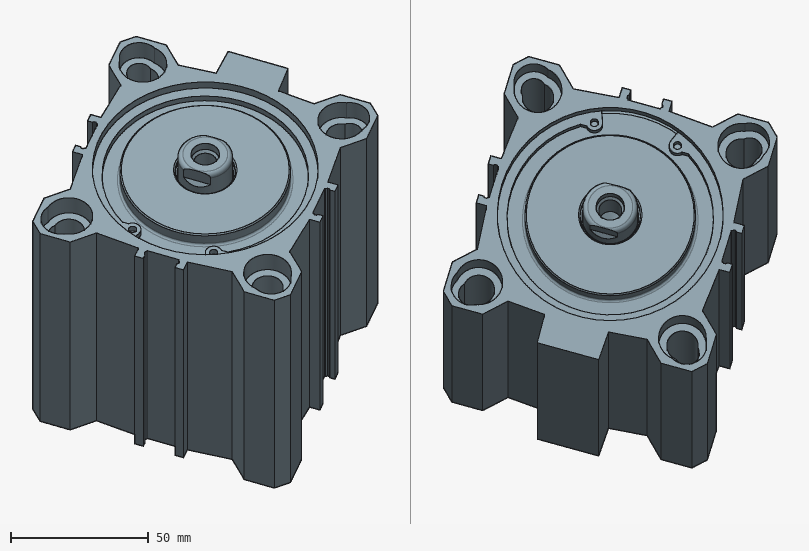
import cadquery as cq
import math


total_height = 114.0
housing_width = 100.0
housing_height = 106.0
half_width = housing_width / 2
corner_chamfer = 4.6
lug_inner_edge = 33.7
waist_drop = 7.4
wall_offset = 44.0
rail_tip = 48.0
rail_outer_face = 9.5
rail_width = 3.3
notch_depth = 0.51
notch_start = 1.9
notch_width = 1.7
wall_overlap = 2.3

housing_depth = 105.0
port_tip = housing_depth - half_width
port_tip_half_width = 11.6
port_root_half_width = 12.1

bolt_offset = 38.5
bolt_hole_diameter = 11.4
bolt_counterbore_diameter = 17.3
corner_hole_offset = 40.8
corner_hole_diameter = 9.1
corner_counterbore_diameter = 14.5
counterbore_depth = 8.5

pocket_diameter = 82.1
cover_top_depth = 6.4
flange_thickness = 6.8
boss_diameter = 62.0
boss_top_depth = 0.8
boss_chamfer = 0.51
boss_fillet = 0.9
cover_top_z = housing_height - cover_top_depth
pocket_floor_z = cover_top_z - flange_thickness
boss_top_z = housing_height - boss_top_depth

rod_opening_diameter = 20.6
rod_recess_diameter = 21.9
rod_recess_mouth_diameter = 23.0
rod_recess_depth = 2.3

ring_outer_diameter = 85.6
ring_inner_diameter = 75.0
ring_thickness = 2.6
ring_gap_half_angle = 20.5
groove_clearance = 0.3
ear_diameter = 6.0
ear_distance = 36.8
ear_hole_diameter = 3.0
ear_shoulder_y = -31.5
ring_top_z = cover_top_z + ring_thickness

rod_diameter = 20.0
rod_top_fillet = 1.8
across_flats = 17.0
flat_length = 5.6
rod_bore_diameter = 10.3
rod_bore_depth = 3.4
thread_hole_diameter = 8.3
thread_hole_depth = 17.1
drill_point_angle = 118.0


def cylinder(diameter, bottom_z, top_z, x=0.0, y=0.0):
    """A vertical cylinder between two heights."""
    return cq.Workplane("XY", origin=(x, y, bottom_z)).circle(diameter / 2).extrude(top_z - bottom_z)


def corner_centers(offset):
    """The four points at the same distance from both centre planes."""
    return [(sx * offset, sy * offset) for sx in (-1, 1) for sy in (-1, 1)]


def housing_outline():
    """Four equal sides with corner lugs and slightly bulged walls between them."""
    waist = half_width - waist_drop
    waist_half_length = lug_inner_edge - waist_drop
    chamfer_start = half_width - corner_chamfer
    side = [
        (-chamfer_start, -half_width),
        (-lug_inner_edge, -half_width),
        (-waist_half_length, -waist),
        (-rail_outer_face, -wall_offset),
        (rail_outer_face, -wall_offset),
        (waist_half_length, -waist),
        (lug_inner_edge, -half_width),
        (chamfer_start, -half_width),
    ]
    points = []
    for _ in range(4):
        points += side
        side = [(-y, x) for x, y in side]
    return points


def sensor_rails():
    """The pair of hooked rails along the -Y side."""
    inner_face = rail_outer_face - rail_width
    notch_face = inner_face + notch_depth
    lip_y = -rail_tip + notch_start
    notch_end_y = lip_y + notch_width
    rail = (
        cq.Workplane("XY")
        .polyline([
            (rail_outer_face, -wall_offset + wall_overlap),
            (rail_outer_face, -rail_tip),
            (inner_face, -rail_tip),
            (inner_face, lip_y),
            (notch_face, lip_y + notch_depth),
            (notch_face, notch_end_y - notch_depth),
            (inner_face, notch_end_y),
            (inner_face, -wall_offset + wall_overlap),
        ])
        .close()
        .extrude(housing_height)
    )
    return rail.union(rail.mirror("YZ"))


def port_block():
    """The tapered block that carries the air ports."""
    root_y = wall_offset - wall_overlap
    return (
        cq.Workplane("XY")
        .polyline([
            (-port_root_half_width, root_y),
            (-port_root_half_width, wall_offset),
            (-port_tip_half_width, port_tip),
            (port_tip_half_width, port_tip),
            (port_root_half_width, wall_offset),
            (port_root_half_width, root_y),
        ])
        .close()
        .extrude(housing_height)
    )


def make_housing():
    body = cq.Workplane("XY").polyline(housing_outline()).close().extrude(housing_height)
    body = body.union(port_block())
    for angle in (0, 90, -90):
        body = body.union(sensor_rails().rotate((0, 0, 0), (0, 0, 1), angle))

    counterbore_floor = housing_height - counterbore_depth
    for offset, hole, counterbore in (
        (bolt_offset, bolt_hole_diameter, bolt_counterbore_diameter),
        (corner_hole_offset, corner_hole_diameter, corner_counterbore_diameter),
    ):
        for x, y in corner_centers(offset):
            body = body.cut(cylinder(hole, 0, housing_height, x, y))
            body = body.cut(cylinder(counterbore, counterbore_floor, housing_height, x, y))

    pocket = cylinder(pocket_diameter, pocket_floor_z, housing_height)
    ring_groove = cylinder(ring_outer_diameter, cover_top_z, ring_top_z + groove_clearance)
    return body.cut(pocket).cut(ring_groove)


def make_cover():
    """A flanged disc turned from a half section, with a stepped opening for the rod."""
    boss_radius = boss_diameter / 2
    opening_radius = rod_opening_diameter / 2
    recess_radius = rod_recess_diameter / 2
    mouth_radius = rod_recess_mouth_diameter / 2
    recess_floor_z = boss_top_z - rod_recess_depth
    mouth_z = boss_top_z - (mouth_radius - recess_radius)
    fillet_middle = boss_fillet * (1 - math.sqrt(0.5))
    return (
        cq.Workplane("XZ")
        .moveTo(opening_radius, pocket_floor_z)
        .lineTo(pocket_diameter / 2, pocket_floor_z)
        .lineTo(pocket_diameter / 2, cover_top_z)
        .lineTo(boss_radius + boss_fillet, cover_top_z)
        .threePointArc(
            (boss_radius + fillet_middle, cover_top_z + fillet_middle),
            (boss_radius, cover_top_z + boss_fillet),
        )
        .lineTo(boss_radius, boss_top_z - boss_chamfer)
        .lineTo(boss_radius - boss_chamfer, boss_top_z)
        .lineTo(mouth_radius, boss_top_z)
        .lineTo(recess_radius, mouth_z)
        .lineTo(recess_radius, recess_floor_z)
        .lineTo(opening_radius, recess_floor_z)
        .close()
        .revolve(360, (0, 0, 0), (0, 1, 0))
    )


def make_ring():
    """An internal retaining ring, open toward -Y, with a pliers ear at each end."""
    disc = cylinder(ring_outer_diameter, cover_top_z, ring_top_z)
    band = disc.cut(cylinder(ring_inner_diameter, cover_top_z, ring_top_z))
    base = cq.Workplane("XY", origin=(0, 0, cover_top_z))

    gap_angle = math.radians(ring_gap_half_angle)
    reach = pocket_diameter
    gap_x = reach * math.sin(gap_angle)
    gap_y = -reach * math.cos(gap_angle)
    band = band.cut(base.polyline([(0, 0), (gap_x, gap_y), (-gap_x, gap_y)]).close().extrude(ring_thickness))

    ear_radius = ear_diameter / 2
    tangent_x = ear_distance * math.sin(gap_angle)
    tangent_y = -ear_distance * math.cos(gap_angle)
    ear_x = tangent_x + ear_radius * math.cos(gap_angle)
    ear_y = tangent_y + ear_radius * math.sin(gap_angle)
    web = (
        base.polyline([
            (ear_x, ear_shoulder_y),
            (ear_x, ear_y),
            (tangent_x, tangent_y),
            (gap_x, gap_y),
            (reach, gap_y),
            (reach, ear_shoulder_y),
        ])
        .close()
        .extrude(ring_thickness)
        .intersect(disc)
    )
    ear = web.union(cylinder(ear_diameter, cover_top_z, ring_top_z, ear_x, ear_y))
    ear_hole = cylinder(ear_hole_diameter, cover_top_z, ring_top_z, ear_x, ear_y)
    return (
        band.union(ear)
        .union(ear.mirror("YZ"))
        .cut(ear_hole)
        .cut(ear_hole.mirror("YZ"))
    )


def rod_hole():
    """The stepped threaded hole, turned about Z, with a drill-point bottom."""
    bore_radius = rod_bore_diameter / 2
    thread_radius = thread_hole_diameter / 2
    bore_floor_z = total_height - rod_bore_depth
    step_z = bore_floor_z - (bore_radius - thread_radius)
    thread_end_z = total_height - thread_hole_depth
    point_z = thread_end_z - thread_radius / math.tan(math.radians(drill_point_angle / 2))
    return (
        cq.Workplane("XZ")
        .polyline([
            (0, total_height),
            (bore_radius, total_height),
            (bore_radius, bore_floor_z),
            (thread_radius, step_z),
            (thread_radius, thread_end_z),
            (0, point_z),
        ])
        .close()
        .revolve(360, (0, 0, 0), (0, 1, 0))
    )


def make_rod():
    body = cylinder(rod_diameter, pocket_floor_z, total_height).faces(">Z").edges().fillet(rod_top_fillet)

    flat_y = across_flats / 2
    flat_end_z = total_height - flat_length
    flat_cut = (
        cq.Workplane("YZ")
        .polyline([
            (flat_y, total_height),
            (flat_y, flat_end_z),
            (rod_diameter, flat_end_z - (rod_diameter - flat_y)),
            (rod_diameter, total_height),
        ])
        .close()
        .extrude(rod_diameter, both=True)
    )
    return body.cut(flat_cut).cut(flat_cut.mirror("XZ")).cut(rod_hole())


housing = make_housing()
cover = make_cover()
retaining_ring = make_ring()
piston_rod = make_rod()

result = cq.Compound.makeCompound([
    housing.val(),
    cover.val(),
    retaining_ring.val(),
    piston_rod.val(),
])